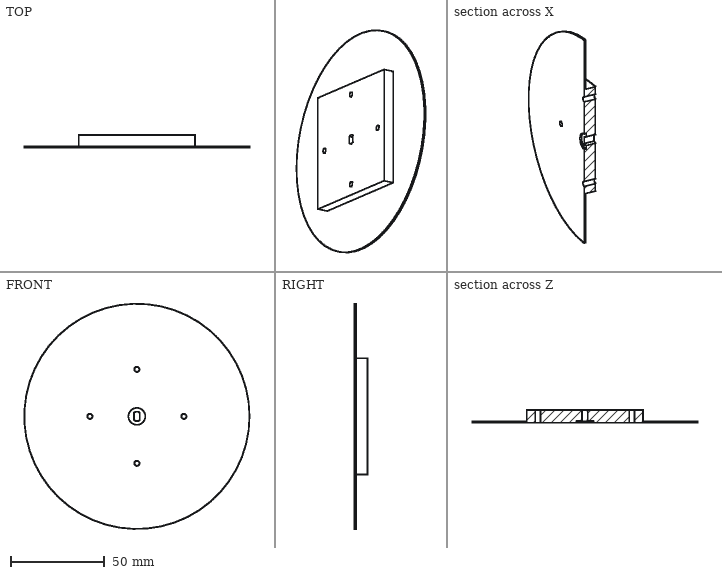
import cadquery as cq

disc_diameter = 120.0
disc_thickness = 1.0

total_depth = 7.0
block_side = 62.0
block_depth = total_depth - disc_thickness

hole_diameter = 2.6
hole_circle_radius = 25.0
hole_count = 4

recess_diameter = 9.0
recess_depth = 1.0

bore_diameter = 4.9
bore_across_flats = 3.0


def front_plane(y):
    """Workplane parallel to XZ at depth y, whose normal points to +Y."""
    plane = cq.Plane(origin=(0, y, 0), xDir=(1, 0, 0), normal=(0, 1, 0))
    return cq.Workplane(plane)


def make_body():
    disc = front_plane(0).circle(disc_diameter / 2).extrude(disc_thickness)
    block = front_plane(disc_thickness).rect(block_side, block_side).extrude(block_depth)
    return disc.union(block)


def make_screw_holes():
    centres = front_plane(0).polarArray(hole_circle_radius, 0, 360, hole_count)
    return centres.circle(hole_diameter / 2).extrude(total_depth)


def make_recess():
    return front_plane(0).circle(recess_diameter / 2).extrude(recess_depth)


def make_shaft_bore():
    bore = front_plane(0).circle(bore_diameter / 2).extrude(total_depth)
    flats = front_plane(0).rect(bore_across_flats, bore_diameter).extrude(total_depth)
    return bore.intersect(flats)


result = make_body().cut(make_screw_holes()).cut(make_recess()).cut(make_shaft_bore())